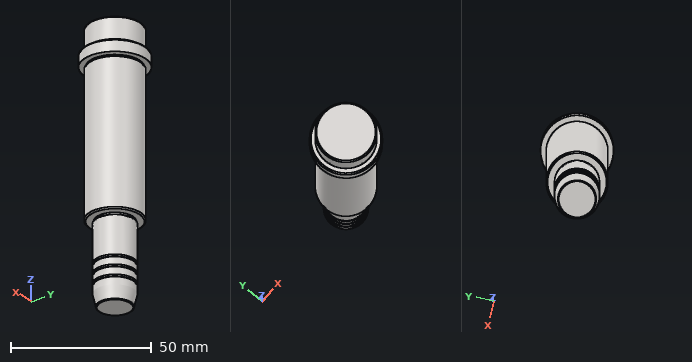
import cadquery as cq

length = 110.0
edge_chamfer = 0.5

body_radius = 11.0
flange_radius = 13.0
relief_radius = 10.5
head_height = 9.7
flange_top = length - 10.0
flange_bottom = length - 15.1
body_top = length - 15.5
body_bottom = 34.0

shank_radius = 8.0
shank_neck_radius = 7.6
shank_top = 33.0
taper_height = 5.3
tip_radius = 6.8
tip_chamfer = 0.3

groove_count = 3
first_groove_z = 8.8
groove_pitch = 4.0
groove_width = 1.0
groove_depth = 0.4


def cylinder(radius, bottom, top):
    """Cylinder on the Z axis between two heights."""
    return cq.Workplane("XY").workplane(offset=bottom).circle(radius).extrude(top - bottom)


def v_groove(center_z):
    """Ring with a triangular section that cuts one groove in the shank."""
    half_width = groove_width / 2
    return (
        cq.Workplane("XZ")
        .moveTo(shank_radius, center_z - half_width)
        .lineTo(shank_radius - groove_depth, center_z)
        .lineTo(shank_radius, center_z + half_width)
        .close()
        .revolve(360, (0, 0, 0), (0, 1, 0))
    )


head = cylinder(body_radius, length - head_height, length).faces("<Z or >Z").chamfer(edge_chamfer)
flange = cylinder(flange_radius, flange_bottom, flange_top).faces(">Z").chamfer(edge_chamfer)
relief_neck = cylinder(relief_radius, body_top - edge_chamfer, length - head_height + edge_chamfer)

body = cylinder(body_radius, body_bottom, body_top).faces("<Z or >Z").chamfer(edge_chamfer)

shank_neck = cylinder(shank_neck_radius, shank_top, body_bottom)
shank = (
    cq.Workplane("XZ")
    .lineTo(tip_radius - tip_chamfer, 0)
    .lineTo(tip_radius, tip_chamfer)
    .lineTo(shank_radius, taper_height)
    .lineTo(shank_radius, shank_top)
    .lineTo(0, shank_top)
    .close()
    .revolve(360, (0, 0, 0), (0, 1, 0))
)
for index in range(groove_count):
    shank = shank.cut(v_groove(first_groove_z + index * groove_pitch))

result = head.union(relief_neck).union(flange).union(body).union(shank_neck).union(shank)